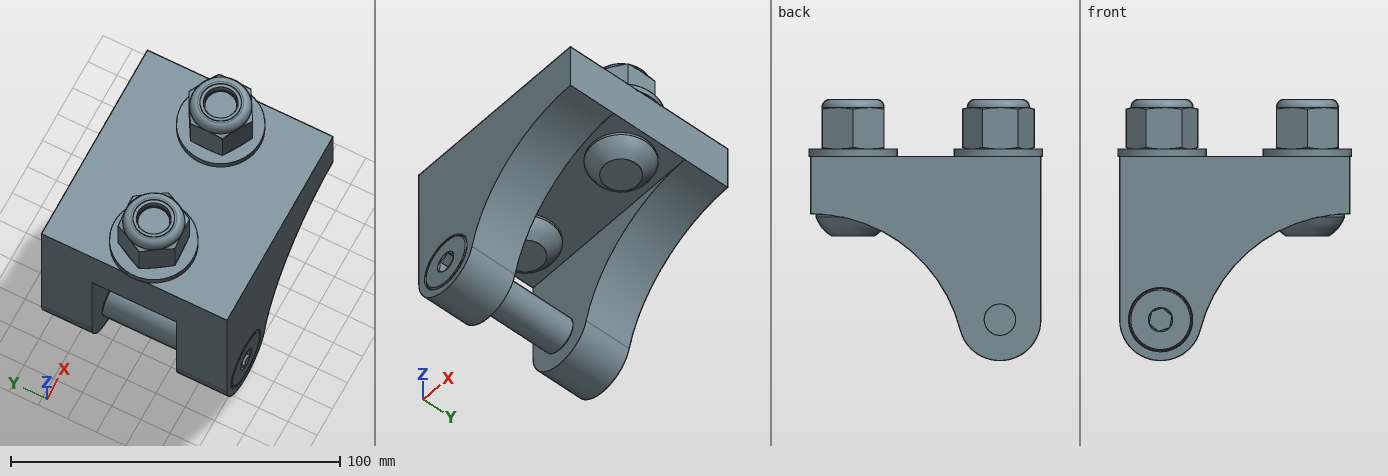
import cadquery as cq
import math

overall_height = 79.45
bracket_length = 70.0
bracket_depth = 63.55
plate_thickness = 17.5
slot_width = 28.75
leg_end_radius = 12.5

washer_diameter = 26.9
washer_thickness = 2.2
bolt_spacing = 44.2
bolt_diameter = 10.5
bolt_tip_chamfer = 0.4
bolt_tip_depth = 2.55
button_diameter = 22.6
button_height = 6.75
button_rim_height = 0.95
button_flat_diameter = 13.0
button_bulge = 0.6
nut_height = 15.1
nut_across_flats = 18.9
nut_crown_height = 2.55
nut_crown_round = 2.5
nut_corner_bevel = 0.5
insert_diameter = 12.6
insert_height = 1.9
insert_recess = 0.2
seat_cone_height = 0.8
nut_turn_left = 33.3
nut_turn_right = 0.0
hexagon_half_angle = math.pi / 6

pin_diameter = 12.7
pin_end_chamfer = 0.3
pin_thread_diameter = 9.5
pin_head_diameter = 18.9
pin_head_height = 6.35
pin_head_chamfer = 0.4
pin_head_projection = 0.1
pin_recess_diameter = 19.55
socket_across_flats = 6.35
socket_depth = 4.0
socket_turn = 79.0

bottom_z = -overall_height / 2
top_of_nuts_z = overall_height / 2
insert_top_z = top_of_nuts_z - insert_recess
insert_bottom_z = insert_top_z - insert_height
washer_top_z = top_of_nuts_z - nut_height
bracket_top_z = washer_top_z - washer_thickness
plate_bottom_z = bracket_top_z - plate_thickness
left_x = -bracket_length / 2
right_x = bracket_length / 2
front_y = -bracket_depth / 2
back_y = bracket_depth / 2
slot_back_y = slot_width / 2
pin_x = left_x + leg_end_radius
pin_z = bottom_z + leg_end_radius
pin_head_seat_y = front_y - pin_head_projection + pin_head_height

bolt_places = [(-bolt_spacing / 2, nut_turn_left), (bolt_spacing / 2, nut_turn_right)]


def cylinder_y(diameter, start_y, end_y):
    """Cylinder along Y on the pin axis."""
    plane = cq.Plane(origin=(pin_x, start_y, pin_z), xDir=(-1, 0, 0), normal=(0, 1, 0))
    return cq.Workplane(plane).circle(diameter / 2).extrude(end_y - start_y)


def cylinder_z(diameter, x, start_z, end_z):
    """Cylinder along Z on a bolt axis."""
    return cq.Workplane("XY", origin=(x, 0, start_z)).circle(diameter / 2).extrude(end_z - start_z)


def make_bracket():
    """Top plate on two legs, with the bolt holes and the stepped pin hole."""
    run = right_x - pin_x
    rise = plate_bottom_z - pin_z
    hollow_radius = (run**2 + rise**2 - leg_end_radius**2) / (2 * (rise + leg_end_radius))
    hollow_z = plate_bottom_z - hollow_radius

    tangent_angle = math.atan2(hollow_z - pin_z, run)
    tangent_point = (
        pin_x + leg_end_radius * math.cos(tangent_angle),
        pin_z + leg_end_radius * math.sin(tangent_angle),
    )
    hollow_mid_angle = (math.pi / 2 + math.pi + tangent_angle) / 2
    hollow_mid = (
        right_x + hollow_radius * math.cos(hollow_mid_angle),
        hollow_z + hollow_radius * math.sin(hollow_mid_angle),
    )

    body = (
        cq.Workplane("XZ", origin=(0, back_y, 0))
        .moveTo(left_x, bracket_top_z)
        .lineTo(right_x, bracket_top_z)
        .lineTo(right_x, plate_bottom_z)
        .threePointArc(hollow_mid, tangent_point)
        .threePointArc((pin_x, bottom_z), (left_x, pin_z))
        .close()
        .extrude(bracket_depth)
    )

    slot_height = plate_bottom_z - bottom_z
    slot = cq.Workplane("XY", origin=(0, 0, bottom_z)).box(
        bracket_length, slot_width, slot_height, centered=(True, True, False)
    )
    body = body.cut(slot)

    for x, _ in bolt_places:
        body = body.cut(cylinder_z(bolt_diameter, x, plate_bottom_z, bracket_top_z))

    body = body.cut(cylinder_y(pin_recess_diameter, front_y, pin_head_seat_y))
    body = body.cut(cylinder_y(pin_diameter, pin_head_seat_y, slot_back_y))
    return body.cut(cylinder_y(pin_thread_diameter, slot_back_y, back_y))


def make_washer(x):
    """Plain washer lying on the bracket."""
    disc = cylinder_z(washer_diameter, x, bracket_top_z, washer_top_z)
    return disc.cut(cylinder_z(bolt_diameter, x, bracket_top_z, washer_top_z))


def make_nut(x, turn):
    """Hexagon with bevelled corners and a rounded collar, open at the top for the insert."""
    flat_radius = nut_across_flats / 2
    corner_radius = flat_radius / math.cos(hexagon_half_angle)
    hex_height = nut_height - nut_crown_height

    hexagon = cq.Workplane("XY").polygon(6, 2 * corner_radius).extrude(hex_height)
    hexagon = hexagon.rotate((0, 0, 0), (0, 0, 1), 90)
    blank = (
        cq.Workplane("XZ")
        .moveTo(0, 0)
        .lineTo(flat_radius, 0)
        .lineTo(corner_radius, nut_corner_bevel)
        .lineTo(corner_radius, hex_height - nut_corner_bevel)
        .lineTo(flat_radius, hex_height)
        .lineTo(0, hex_height)
        .close()
        .revolve(360, (0, 0, 0), (0, 1, 0))
    )
    crown = (
        cq.Workplane("XY", origin=(0, 0, hex_height))
        .circle(flat_radius)
        .extrude(nut_crown_height)
    )
    crown = crown.faces(">Z").edges().fillet(nut_crown_round)
    nut = hexagon.intersect(blank).union(crown)
    nut = nut.rotate((0, 0, 0), (0, 0, 1), turn).translate((x, 0, washer_top_z))
    nut = nut.cut(cylinder_z(bolt_diameter, x, washer_top_z, top_of_nuts_z))

    nut = nut.cut(cylinder_z(insert_diameter, x, insert_bottom_z, top_of_nuts_z))
    seat_cone = cq.Workplane(
        cq.Solid.makeCone(
            insert_diameter / 2,
            bolt_diameter / 2,
            seat_cone_height,
            pnt=cq.Vector(x, 0, insert_bottom_z),
            dir=cq.Vector(0, 0, -1),
        )
    )
    return nut.cut(seat_cone)


def make_insert(x):
    """Locking ring seated in the top of a nut."""
    ring = cylinder_z(insert_diameter, x, insert_bottom_z, insert_top_z)
    return ring.cut(cylinder_z(bolt_diameter, x, insert_bottom_z, insert_top_z))


def make_bolt(x):
    """Button-head bolt standing head down; the head bears on the underside of the plate."""
    shank_radius = bolt_diameter / 2
    rim_radius = button_diameter / 2
    flat_radius = button_flat_diameter / 2
    tip_z = top_of_nuts_z - bolt_tip_depth
    rim_z = plate_bottom_z - button_rim_height
    flat_z = plate_bottom_z - button_height

    chord_x = rim_radius - flat_radius
    chord_z = rim_z - flat_z
    chord = math.hypot(chord_x, chord_z)
    dome_mid = (
        (rim_radius + flat_radius) / 2 + button_bulge * chord_z / chord,
        (rim_z + flat_z) / 2 - button_bulge * chord_x / chord,
    )
    profile = (
        cq.Workplane("XZ")
        .moveTo(0, flat_z)
        .lineTo(flat_radius, flat_z)
        .threePointArc(dome_mid, (rim_radius, rim_z))
        .lineTo(rim_radius, plate_bottom_z)
        .lineTo(shank_radius, plate_bottom_z)
        .lineTo(shank_radius, tip_z - bolt_tip_chamfer)
        .lineTo(shank_radius - bolt_tip_chamfer, tip_z)
        .lineTo(0, tip_z)
        .close()
    )
    return profile.revolve(360, (0, 0, 0), (0, 1, 0)).translate((x, 0, 0))


def make_pin():
    """Shoulder screw: head in the front leg, thread in the back leg."""
    head_y = front_y - pin_head_projection
    head = cylinder_y(pin_head_diameter, head_y, pin_head_seat_y).faces("<Y").chamfer(pin_head_chamfer)
    shoulder = cylinder_y(pin_diameter, pin_head_seat_y, slot_back_y).faces(">Y").chamfer(pin_end_chamfer)
    thread = cylinder_y(pin_thread_diameter, slot_back_y, back_y)

    socket_corner_diameter = socket_across_flats / math.cos(hexagon_half_angle)
    turn = math.radians(socket_turn)
    corner_direction = (math.cos(turn), 0, math.sin(turn))
    socket_plane = cq.Plane(origin=(pin_x, head_y, pin_z), xDir=corner_direction, normal=(0, 1, 0))
    socket = cq.Workplane(socket_plane).polygon(6, socket_corner_diameter).extrude(socket_depth)
    mouth_radius = socket_corner_diameter / 2
    mouth = cq.Workplane(
        cq.Solid.makeCone(
            mouth_radius,
            0,
            mouth_radius,
            pnt=cq.Vector(pin_x, head_y, pin_z),
            dir=cq.Vector(0, 1, 0),
        )
    )
    return head.union(shoulder).union(thread).cut(socket).cut(mouth)


bracket = make_bracket()
pin = make_pin()
washers = [make_washer(x) for x, _ in bolt_places]
nuts = [make_nut(x, turn) for x, turn in bolt_places]
inserts = [make_insert(x) for x, _ in bolt_places]
bolts = [make_bolt(x) for x, _ in bolt_places]

bodies = [bracket, pin, *washers, *nuts, *inserts, *bolts]
result = cq.Compound.makeCompound([body.val() for body in bodies])